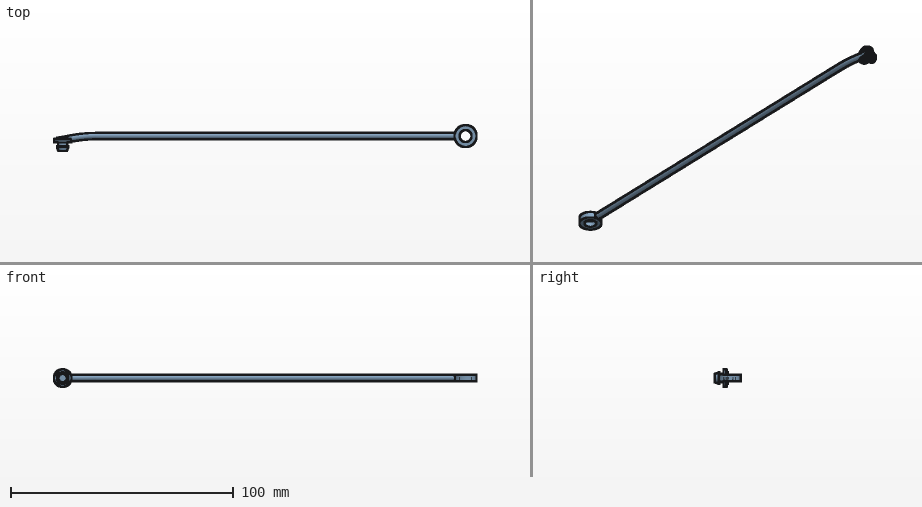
import cadquery as cq
import math


rod_diameter = 3.0
rod_radius = rod_diameter / 2
bend_start_x = 15.1
bend_end_x = 4.6
neck_overrun = 2.0
bend_drop = 0.95

eye_center_x = 181.0
eye_diameter = 10.0
eye_hole_diameter = 5.3
eye_thickness = rod_diameter

flange_diameter = 8.0
flange_back_y = -1.15
flange_front_y = -2.85
flange_bevel_width = 0.5
flange_bevel_depth = 0.25
head_diameter = 5.3
head_height = 0.4
groove_diameter = 4.2
lip_diameter = 5.3
lip_back_y = -4.5
lip_width = 0.3
tip_diameter = 3.8
tip_y = -6.79


def make_rod():
    """Straight rod from the bend into the wall of the eye."""
    wall_middle_radius = (eye_diameter + eye_hole_diameter) / 4
    length = eye_center_x - wall_middle_radius - bend_start_x
    return cq.Workplane("YZ", origin=(bend_start_x, 0, 0)).circle(rod_radius).extrude(length)


def make_bend():
    """Arc tangent to the rod, then a straight neck that sinks into the stud."""
    run = bend_start_x - bend_end_x
    bend_radius = (run**2 + bend_drop**2) / (2 * bend_drop)
    bend_angle = math.degrees(math.asin(run / bend_radius))
    pivot = (bend_start_x, -bend_radius, 0)

    bend = (
        cq.Workplane("YZ", origin=(bend_start_x, 0, 0))
        .circle(rod_radius)
        .revolve(bend_angle, (-bend_radius, 0, 0), (-bend_radius, 1, 0))
    )
    neck_length = bend_end_x + neck_overrun
    neck = (
        cq.Workplane("YZ", origin=(bend_start_x, 0, 0))
        .circle(rod_radius)
        .extrude(-neck_length)
        .rotate(pivot, (bend_start_x, -bend_radius, 1), bend_angle)
    )
    flange_middle_y = (flange_back_y + flange_front_y) / 2
    below_flange = (
        cq.Workplane("XZ", origin=(0, flange_middle_y, 0))
        .circle(flange_diameter / 2)
        .extrude(flange_diameter)
    )
    return bend.union(neck.cut(below_flange))


def make_eye():
    """Flat ring with its hole along Z."""
    return (
        cq.Workplane("XY", origin=(eye_center_x, 0, 0))
        .circle(eye_diameter / 2)
        .extrude(eye_thickness / 2, both=True)
    )


def make_eye_hole():
    """Through hole of the eye."""
    return (
        cq.Workplane("XY", origin=(eye_center_x, 0, 0))
        .circle(eye_hole_diameter / 2)
        .extrude(eye_thickness, both=True)
    )


def make_stud():
    """Head, flange, retaining groove, lip and tapered tip, turned about Y."""
    head_radius = head_diameter / 2
    flange_radius = flange_diameter / 2
    groove_radius = groove_diameter / 2
    lip_radius = lip_diameter / 2
    outline = [
        (0, flange_back_y + head_height),
        (head_radius, flange_back_y + head_height),
        (head_radius, flange_back_y),
        (flange_radius - flange_bevel_depth, flange_back_y),
        (flange_radius, flange_back_y - flange_bevel_width),
        (flange_radius, flange_front_y),
        (groove_radius, flange_front_y),
        (groove_radius, lip_back_y),
        (lip_radius, lip_back_y),
        (lip_radius, lip_back_y - lip_width),
        (tip_diameter / 2, tip_y),
        (0, tip_y),
    ]
    return cq.Workplane("XY").polyline(outline).close().revolve(360, (0, 0, 0), (0, 1, 0))


result = make_rod().union(make_bend()).union(make_eye()).union(make_stud()).cut(make_eye_hole())